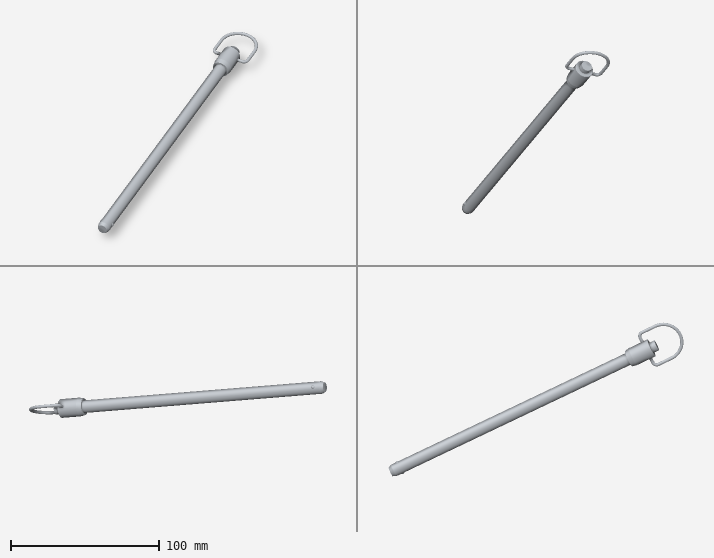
import cadquery as cq

total_length = 218.4
ring_width = 27.0
wire_diameter = 2.2
ring_length = 27.3
ring_corner_radius = 2.8

button_diameter = 7.5
button_top_depth = 18.5
sleeve_diameter = 12.7
sleeve_top_depth = 22.5
sleeve_chamfer = 0.2
taper_start_depth = 36.5
collar_diameter = 11.4
collar_end_depth = 39.7

shank_diameter = 8.5
tip_diameter = 6.5
tip_length = 2.5

ball_radius = 1.5
ball_protrusion = 0.7
ball_depth = 211.5

crown_y = total_length / 2
tip_y = -total_length / 2


def make_body():
    """Button, sleeve, shank and tapered tip as one turned body."""
    button_radius = button_diameter / 2
    sleeve_radius = sleeve_diameter / 2
    shank_radius = shank_diameter / 2
    button_top_y = crown_y - button_top_depth
    sleeve_top_y = crown_y - sleeve_top_depth
    collar_end_y = crown_y - collar_end_depth
    profile = [
        (0, button_top_y),
        (button_radius, button_top_y),
        (button_radius, sleeve_top_y),
        (sleeve_radius - sleeve_chamfer, sleeve_top_y),
        (sleeve_radius, sleeve_top_y - sleeve_chamfer),
        (sleeve_radius, crown_y - taper_start_depth),
        (collar_diameter / 2, collar_end_y),
        (shank_radius, collar_end_y),
        (shank_radius, tip_y + tip_length),
        (tip_diameter / 2, tip_y),
        (0, tip_y),
    ]
    return cq.Workplane("XY").polyline(profile).close().revolve(360, (0, 0, 0), (0, 1, 0))


def make_ring():
    """D-shaped wire ring whose straight side passes through the sleeve."""
    wire_radius = wire_diameter / 2
    bow_radius = ring_width / 2 - wire_radius
    bow_y = crown_y - ring_width / 2
    bar_y = crown_y - ring_length + wire_radius
    corner_y = bar_y + ring_corner_radius
    bar_end_x = bow_radius - ring_corner_radius
    path = (
        cq.Workplane("XY")
        .moveTo(0, bar_y)
        .lineTo(bar_end_x, bar_y)
        .tangentArcPoint((bow_radius, corner_y), relative=False)
        .lineTo(bow_radius, bow_y)
        .threePointArc((0, crown_y - wire_radius), (-bow_radius, bow_y))
        .lineTo(-bow_radius, corner_y)
        .tangentArcPoint((-bar_end_x, bar_y), relative=False)
        .close()
    )
    return cq.Workplane("YZ").center(bar_y, 0).circle(wire_radius).sweep(path)


def make_locking_balls():
    """Two opposed balls standing slightly proud of the shank."""
    ball_x = shank_diameter / 2 + ball_protrusion - ball_radius
    ball_y = crown_y - ball_depth
    return cq.Workplane("XY").pushPoints([(-ball_x, ball_y), (ball_x, ball_y)]).sphere(ball_radius)


result = make_body().union(make_ring()).union(make_locking_balls())